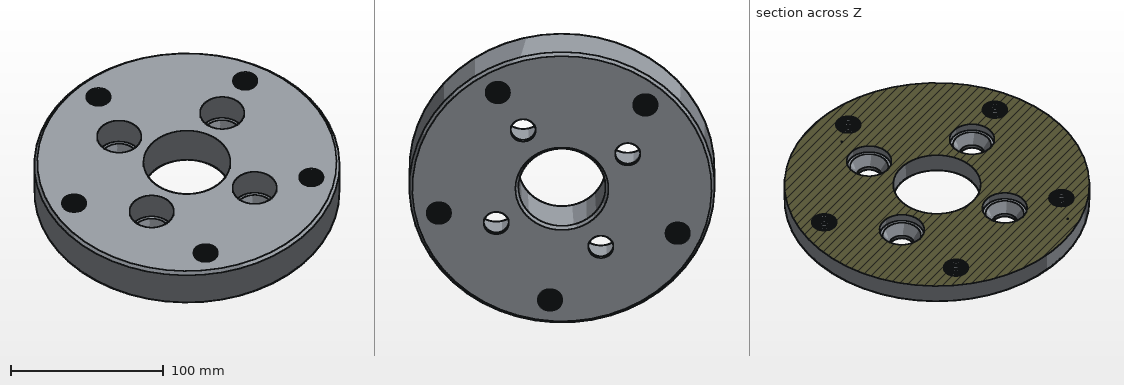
import cadquery as cq
import math

disc_diameter = 200.0
disc_thickness = 30.0
rim_chamfer = 2.0
bore_diameter = 57.0
bore_chamfer = 2.0

bolt_count = 4
bolt_circle_radius = 50.0
counterbore_diameter = 29.0
counterbore_depth = 20.0
cone_diameter = 25.0
bolt_hole_diameter = 16.5
cone_angle = 60.0
cone_depth = (cone_diameter - bolt_hole_diameter) / 2 / math.tan(math.radians(cone_angle / 2))

thread_count = 5
thread_circle_radius = 82.5
thread_major_diameter = 16.0
thread_minor_diameter = 14.5
thread_pitch = 1.5


def ring_positions(radius, count):
    """Evenly spaced points on a circle, the first one on +Y."""
    angles = [math.radians(90 + 360 * i / count) for i in range(count)]
    return [(radius * math.cos(a), radius * math.sin(a)) for a in angles]


def make_disc():
    """Disc with both rims chamfered and a bore chamfered at its lower end."""
    disc = cq.Workplane("XY").circle(disc_diameter / 2).extrude(disc_thickness)
    disc = disc.edges().chamfer(rim_chamfer)
    disc = disc.faces(">Z").workplane().hole(bore_diameter)
    bore_bottom_edge = disc.faces("<Z").edges("%CIRCLE").edges(cq.selectors.RadiusNthSelector(0))
    return bore_bottom_edge.chamfer(bore_chamfer)


def revolve_about_z(points):
    """Solid of revolution from a closed (radius, height) outline."""
    return cq.Workplane("XZ").polyline(points).close().revolve(360, (0, 0), (0, 1))


def make_bolt_hole_cutter():
    """Through hole, conical seat, flat step and counterbore in one profile."""
    floor = disc_thickness - counterbore_depth
    return revolve_about_z([
        (0, 0),
        (bolt_hole_diameter / 2, 0),
        (bolt_hole_diameter / 2, floor - cone_depth),
        (cone_diameter / 2, floor),
        (counterbore_diameter / 2, floor),
        (counterbore_diameter / 2, disc_thickness),
        (0, disc_thickness),
    ])


def make_threaded_hole_cutter():
    """Through hole whose wall zigzags between the minor and major diameters."""
    points = [(0, 0)]
    for turn in range(round(disc_thickness / thread_pitch)):
        start = turn * thread_pitch
        points.append((thread_major_diameter / 2, start))
        points.append((thread_minor_diameter / 2, start + thread_pitch / 2))
    points.append((thread_major_diameter / 2, disc_thickness))
    points.append((0, disc_thickness))
    return revolve_about_z(points)


result = make_disc()

bolt_hole_cutter = make_bolt_hole_cutter()
for x, y in ring_positions(bolt_circle_radius, bolt_count):
    result = result.cut(bolt_hole_cutter.translate((x, y, 0)))

threaded_hole_cutter = make_threaded_hole_cutter()
for x, y in ring_positions(thread_circle_radius, thread_count):
    result = result.cut(threaded_hole_cutter.translate((x, y, 0)))